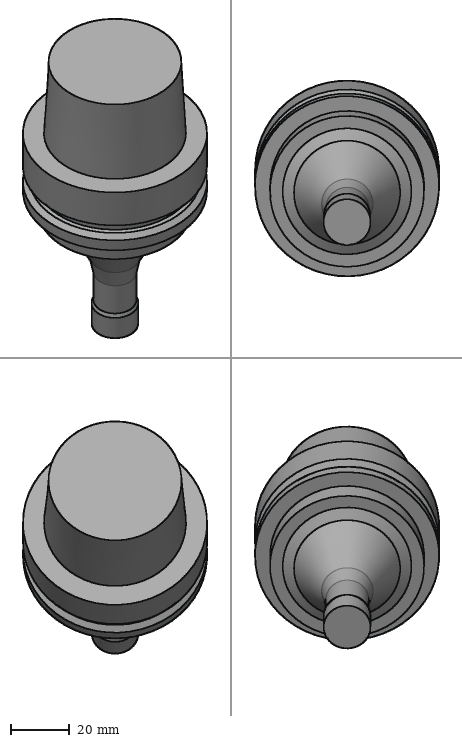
import cadquery as cq

tip_diameter = 16.0
neck_diameter = 14.7
cone_bottom_diameter = 17.5
cone_top_diameter = 36.3
shoulder_diameter = 44.0
collar_diameter = 52.6
flange_diameter = 63.0
groove_diameter = 55.0
groove_mouth_diameter = 58.5
shank_base_diameter = 48.5
shank_top_diameter = 45.4

tip_top = 9.1
neck_bottom = 10.5
neck_top = 23.0
cone_bottom = 30.2
cone_top = 48.9
collar_bottom = 50.9
flange_bottom = 59.2
groove_bottom = 65.0
groove_top = 68.9
flange_top = 85.1
total_height = 117.0

groove_bevel_height = 1.4

profile = (
    cq.Workplane("XZ")
    .lineTo(tip_diameter / 2, 0)
    .lineTo(tip_diameter / 2, tip_top)
    .lineTo(neck_diameter / 2, neck_bottom)
    .lineTo(neck_diameter / 2, neck_top)
    .lineTo(cone_bottom_diameter / 2, cone_bottom)
    .lineTo(cone_top_diameter / 2, cone_top)
    .lineTo(shoulder_diameter / 2, collar_bottom)
    .lineTo(collar_diameter / 2, collar_bottom)
    .lineTo(collar_diameter / 2, flange_bottom)
    .lineTo(flange_diameter / 2, flange_bottom)
    .lineTo(flange_diameter / 2, groove_bottom - groove_bevel_height)
    .lineTo(groove_mouth_diameter / 2, groove_bottom)
    .lineTo(groove_diameter / 2, groove_bottom)
    .lineTo(groove_diameter / 2, groove_top)
    .lineTo(groove_mouth_diameter / 2, groove_top)
    .lineTo(flange_diameter / 2, groove_top + groove_bevel_height)
    .lineTo(flange_diameter / 2, flange_top)
    .lineTo(shank_base_diameter / 2, flange_top)
    .lineTo(shank_top_diameter / 2, total_height)
    .lineTo(0, total_height)
    .close()
)

result = profile.revolve(360, (0, 0, 0), (0, 1, 0))